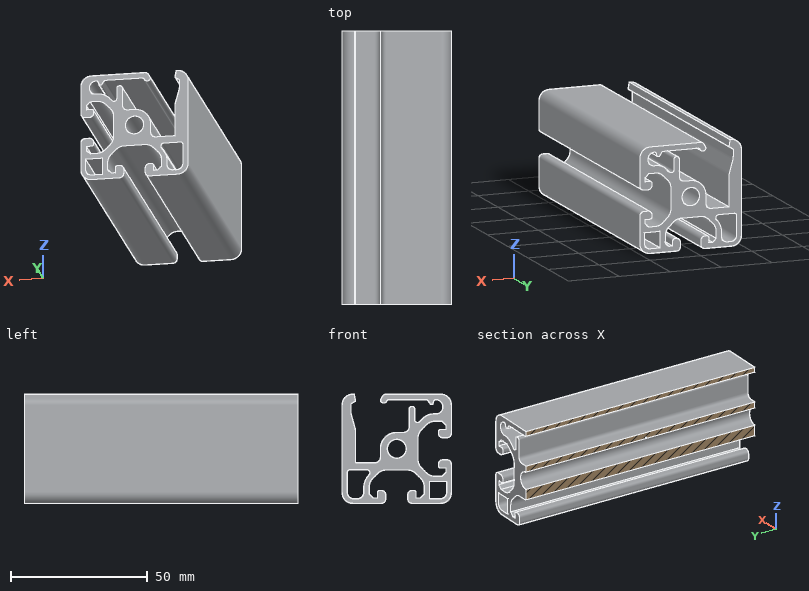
import cadquery as cq
import math

length = 100.0
width = 40.0
half = width / 2
corner_radius = 4.0
wall = 1.8
inner_face = half - wall
core_bore_diameter = 6.8
overcut = 1.0

slot_half_opening = 4.0
slot_lip_inner_face = 15.2
slot_lip_back = 7.1
slot_lip_recess = 17.9
slot_half_width = 10.0
slot_floor = 7.8
slot_shoulder = 2.1
slot_back_chamfer = 1.4
slot_flank_radius = 4.3
lip_outer_radius = 1.6
lip_inner_radius = 0.8

hollow_start = 12.0
hollow_corner_radius = 2.2

tall_hollow_left = -18.0
tall_hollow_top = -7.7
tall_hollow_right = -12.1
tall_hollow_flank = 0.6
tall_hollow_small_radius = 0.9
tall_hollow_top_radius = 1.1
tall_hollow_flank_radius = 6.8

mouth_left = -15.5
mouth_right = -4.8
lip_tip_x = -15.0
lip_tip_z = 17.4
lip_heel_z = 16.4
lip_radius = 0.3
chamber_left = -16.7
chamber_taper_top = 13.0
chamber_taper_bottom = 6.9
chamber_taper_radius = 5.0
chamber_floor = -5.1

core_half = 6.0
core_radius = core_half
core_root_radius = 2.0

rib_left = 4.5
rib_thickness = 2.1
rib_right = rib_left + rib_thickness
rib_top = 15.5
rib_tip_radius = 1.0
rib_root_radius = 1.0
nook_flank = 1.6
nook_flank_radius = 5.7
nook_floor = 12.8
nook_right = 16.8
nook_lower_radius = 2.4
nook_upper_radius = 2.5

flange_under = 17.9
tooth_tip_z = 16.2
tooth_tip_left = 12.3
tooth_tip_right = 13.2
tooth_root_left = 11.2
tooth_root_right = 13.7
tooth_tip_radius = 0.2
tooth_root_radius = 0.7
hook_root_x = -3.3
hook_bottom_x = -4.1
hook_bottom_z = 16.7
hook_end_x = -6.6
hook_root_radius = 0.9
hook_radius = 1.0
mouth_edge_radius = 1.6


def rounded_outline(corners):
    """Closed XZ outline through (x, z, radius) corners; radius 0 keeps a corner sharp."""
    outline = None
    for i, (x, z, radius) in enumerate(corners):
        corner = cq.Vector(x, z, 0)
        previous = cq.Vector(*corners[i - 1][:2], 0)
        following = cq.Vector(*corners[(i + 1) % len(corners)][:2], 0)
        back = (previous - corner).normalized()
        ahead = (following - corner).normalized()
        half_angle = back.getAngle(ahead) / 2
        setback = radius / math.tan(half_angle)
        start = corner + back * setback
        end = corner + ahead * setback
        if outline is None:
            outline = cq.Workplane("XZ").moveTo(start.x, start.y)
        else:
            outline = outline.lineTo(start.x, start.y)
        if radius > 0:
            bisector = (back + ahead).normalized()
            middle = corner + bisector * (radius / math.sin(half_angle) - radius)
            outline = outline.threePointArc((middle.x, middle.y), (end.x, end.y))
    return outline.close()


def prism(corners):
    """Extrude a rounded outline along the full length, centred on Y."""
    return rounded_outline(corners).extrude(length / 2, both=True)


def t_slot():
    """T-slot opening toward +X, symmetric about Z = 0."""
    outside = half + overcut
    relief = slot_half_opening + 2 * lip_outer_radius
    upper = [
        (slot_floor, slot_floor - slot_shoulder, slot_flank_radius),
        (slot_half_width + slot_shoulder, slot_half_width, slot_flank_radius),
        (slot_lip_recess - slot_back_chamfer, slot_half_width, 0),
        (slot_lip_recess, slot_half_width - slot_back_chamfer, 0),
        (slot_lip_recess, slot_lip_back, 0),
        (slot_lip_inner_face, slot_lip_back, lip_inner_radius),
        (slot_lip_inner_face, slot_half_opening, lip_outer_radius),
        (half, slot_half_opening, lip_outer_radius),
        (half, relief, 0),
        (outside, relief, 0),
    ]
    lower = [(x, -z, radius) for x, z, radius in reversed(upper)]
    return prism(upper + lower)


def square_hollow():
    """Closed hollow with one rounded corner, following the outer corner."""
    return prism([
        (hollow_start, -hollow_start, 0),
        (inner_face, -hollow_start, 0),
        (inner_face, -inner_face, hollow_corner_radius),
        (hollow_start, -inner_face, 0),
    ])


def tall_hollow():
    """Closed hollow whose right wall follows the flank of the bottom slot."""
    return prism([
        (tall_hollow_left, tall_hollow_top, tall_hollow_small_radius),
        (tall_hollow_top - tall_hollow_flank, tall_hollow_top, tall_hollow_top_radius),
        (tall_hollow_right, tall_hollow_right + tall_hollow_flank, tall_hollow_flank_radius),
        (tall_hollow_right, -inner_face, hollow_corner_radius),
        (tall_hollow_left, -inner_face, hollow_corner_radius),
    ])


def top_chamber():
    """Chamber between the left wall, core and top flange, with its mouth through the top."""
    above = half + overcut
    mouth_edge_end = mouth_right + mouth_edge_radius
    left_wall = [
        (mouth_left, above, 0),
        (mouth_left, half, 0),
        (lip_tip_x, lip_tip_z, lip_radius),
        (chamber_left, lip_heel_z, lip_radius),
        (chamber_left, chamber_taper_top, chamber_taper_radius),
        (lip_tip_x, chamber_taper_bottom, chamber_taper_radius),
        (lip_tip_x, chamber_floor, 0),
    ]
    core = [
        (-core_half, chamber_floor, core_root_radius),
        (-core_half, core_half, core_radius),
        (rib_left, core_half, core_root_radius),
    ]
    rib = [
        (rib_left, rib_top, rib_tip_radius),
        (rib_right, rib_top, rib_tip_radius),
        (rib_right, rib_right + nook_flank, rib_root_radius),
    ]
    nook = [
        (nook_floor - nook_flank, nook_floor, nook_flank_radius),
        (nook_right, nook_floor, nook_lower_radius),
        (nook_right, flange_under, nook_upper_radius),
    ]
    tooth = [
        (tooth_root_right, flange_under, tooth_root_radius),
        (tooth_tip_right, tooth_tip_z, tooth_tip_radius),
        (tooth_tip_left, tooth_tip_z, tooth_tip_radius),
        (tooth_root_left, flange_under, tooth_root_radius),
    ]
    hook = [
        (hook_root_x, flange_under, hook_root_radius),
        (hook_bottom_x, hook_bottom_z, hook_radius),
        (hook_end_x, hook_bottom_z, hook_radius),
        (mouth_right, half, mouth_edge_radius),
        (mouth_edge_end, half, 0),
        (mouth_edge_end, above, 0),
    ]
    return prism(left_wall + core + rib + nook + tooth + hook)


body = cq.Workplane("XY").box(width, length, width).edges("|Y").fillet(corner_radius)
core_bore = cq.Workplane("XZ").circle(core_bore_diameter / 2).extrude(length / 2, both=True)
side_slot = t_slot()
bottom_slot = side_slot.rotate((0, 0, 0), (0, 1, 0), 90)

result = body.cut(core_bore)
for cavity in (side_slot, bottom_slot, square_hollow(), tall_hollow(), top_chamber()):
    result = result.cut(cavity)